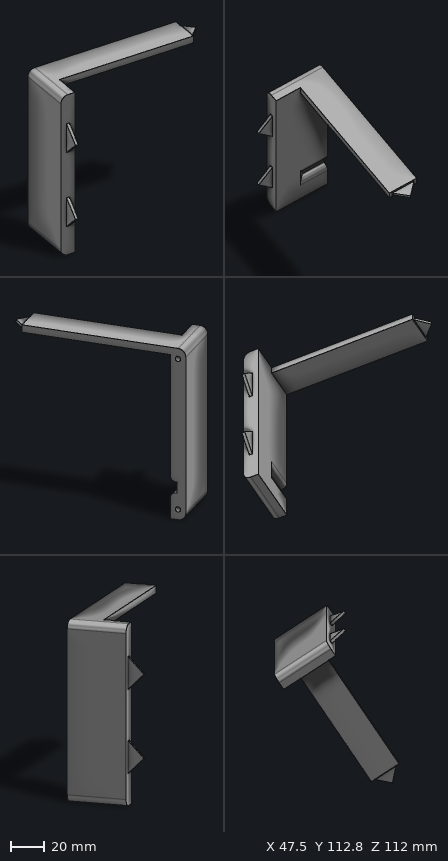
import cadquery as cq
import math

plate_width = 37.5
plate_height = 112.0
plate_thickness = 10.0
edge_radius = 5.0

arm_width = 20.0
arm_thickness = 5.0
arm_reach = 104.9

total_width = 47.5
total_depth = 112.8
tooth_thickness = 2.0
tooth_front = (plate_thickness - tooth_thickness) / 2
tooth_half_base = total_width - plate_width
tooth_inset = 30.1
prong_length = total_depth - arm_reach
prong_half_base = 7.9
prong_top_gap = (arm_thickness - tooth_thickness) / 2

hole_diameter = 3.3
hole_inset = 6.9
hole_depth = 10.0
drill_tip_angle = 118.0

notch_bottom = 17.5
notch_height = 6.9
notch_depth = 4.3
notch_lip_radius = 3.7
notch_length = arm_width


def make_body():
    """Upright plate with a thin arm running back from its top edge."""
    plate = cq.Workplane("XY").box(plate_width, plate_thickness, plate_height, centered=False)
    plate = plate.edges("|X and <Y").fillet(edge_radius)
    arm = (
        cq.Workplane("XY", origin=(0, edge_radius, plate_height - arm_thickness))
        .box(arm_width, arm_reach - edge_radius, arm_thickness, centered=False)
    )
    return plate.union(arm)


def make_tooth(center_z):
    """Triangular tooth pointing along +X from the side of the plate."""
    return (
        cq.Workplane("XZ", origin=(0, tooth_front + tooth_thickness, 0))
        .moveTo(plate_width, center_z - tooth_half_base)
        .lineTo(total_width, center_z)
        .lineTo(plate_width, center_z + tooth_half_base)
        .close()
        .extrude(tooth_thickness)
    )


def make_prong():
    """Triangular prong pointing along +Y from the end of the arm."""
    center_x = arm_width / 2
    return (
        cq.Workplane("XY", origin=(0, 0, plate_height - prong_top_gap - tooth_thickness))
        .moveTo(center_x - prong_half_base, arm_reach)
        .lineTo(center_x, arm_reach + prong_length)
        .lineTo(center_x + prong_half_base, arm_reach)
        .close()
        .extrude(tooth_thickness)
    )


def make_hole(center_z):
    """Blind hole along +X with a conical drill tip."""
    radius = hole_diameter / 2
    tip_length = radius / math.tan(math.radians(drill_tip_angle / 2))
    center_y = plate_thickness / 2
    return (
        cq.Workplane("XY", origin=(0, center_y, center_z))
        .lineTo(0, radius)
        .lineTo(hole_depth, radius)
        .lineTo(hole_depth + tip_length, 0)
        .close()
        .revolve(360, (0, 0, 0), (1, 0, 0))
    )


def make_notch():
    """Back-face notch with rounded lips and a sloped closed end."""
    floor_y = plate_thickness - notch_depth
    lip_start_y = plate_thickness - notch_lip_radius
    notch_top = notch_bottom + notch_height
    lip_mid = notch_lip_radius * (1 - math.sqrt(0.5))
    profile = (
        cq.Workplane("YZ")
        .moveTo(floor_y, notch_bottom)
        .lineTo(lip_start_y, notch_bottom)
        .threePointArc(
            (plate_thickness - lip_mid, notch_bottom - lip_mid),
            (plate_thickness, notch_bottom - notch_lip_radius),
        )
        .lineTo(plate_thickness, notch_top + notch_lip_radius)
        .threePointArc(
            (plate_thickness - lip_mid, notch_top + lip_mid),
            (lip_start_y, notch_top),
        )
        .lineTo(floor_y, notch_top)
        .close()
        .extrude(notch_length)
    )
    sloped_end = (
        cq.Workplane("XY")
        .moveTo(0, floor_y)
        .lineTo(notch_length - notch_depth, floor_y)
        .lineTo(notch_length, plate_thickness)
        .lineTo(0, plate_thickness)
        .close()
        .extrude(plate_height)
    )
    return profile.intersect(sloped_end)


result = make_body().union(make_prong())
for tooth_z in (tooth_inset, plate_height - tooth_inset):
    result = result.union(make_tooth(tooth_z))
for hole_z in (hole_inset, plate_height - hole_inset):
    result = result.cut(make_hole(hole_z))
result = result.cut(make_notch())